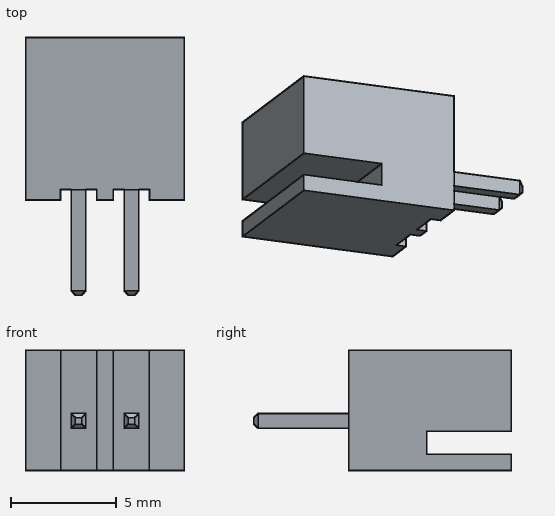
import cadquery as cq

body_width = 7.5
body_length = 7.7
body_height = 5.7

pin_count = 2
pin_pitch = 2.5
pin_size = 0.7
pin_height = 2.35
pin_reach = 4.5
tip_length = 0.22
tip_size = 0.3

groove_width = 1.7
groove_depth = 0.5

slot_depth = 4.0
slot_bottom = 0.78
slot_top = 1.85

pin_positions = [(i - (pin_count - 1) / 2) * pin_pitch for i in range(pin_count)]


def block(width, length, height, x_center, y_start, z_start):
    """Box centred on x_center, growing toward +Y and +Z from its start corner."""
    return (
        cq.Workplane("XY")
        .box(width, length, height, centered=(True, False, False))
        .translate((x_center, y_start, z_start))
    )


def make_housing():
    housing = block(body_width, body_length, body_height, 0, 0, 0)
    slot = block(
        body_width, slot_depth, slot_top - slot_bottom, 0, body_length - slot_depth, slot_bottom
    )
    housing = housing.cut(slot)
    for x in pin_positions:
        housing = housing.cut(block(groove_width, groove_depth, body_height, x, 0, 0))
    return housing


def make_pin(x):
    """Square pin from the groove floor toward -Y, ending in a tapered tip."""
    shank_end = tip_length - pin_reach
    shank_length = groove_depth - shank_end
    shank = block(pin_size, shank_length, pin_size, x, shank_end, pin_height - pin_size / 2)
    tip = (
        cq.Workplane("XZ", origin=(x, shank_end, pin_height))
        .rect(pin_size, pin_size)
        .workplane(offset=tip_length)
        .rect(tip_size, tip_size)
        .loft(ruled=True)
    )
    return shank.union(tip)


result = make_housing()
for pin_x in pin_positions:
    result = result.union(make_pin(pin_x))